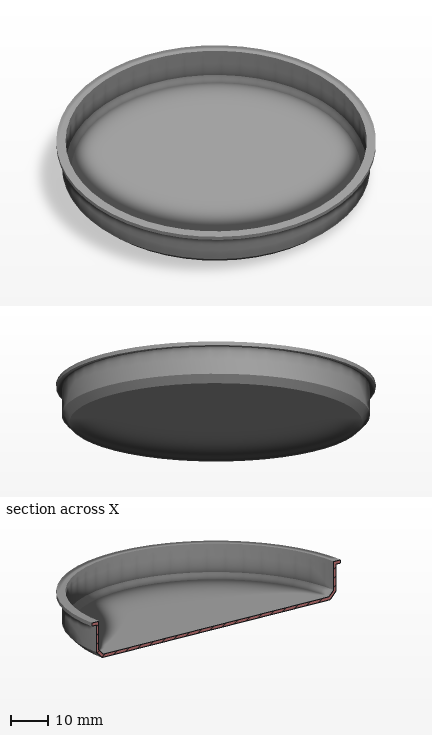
import cadquery as cq

rim_diameter = 86.0
height = 10.7

body_diameter = 83.0
bore_diameter = 81.0
rim_thickness = 1.0
floor_thickness = 1.0

outer_chamfer = 2.1
inner_chamfer = 1.55


def disc(diameter, thickness, base_z):
    """Upright disc on the Z axis, starting at base_z."""
    return cq.Workplane("XY").workplane(offset=base_z).circle(diameter / 2).extrude(thickness)


body = disc(body_diameter, height, 0).faces("<Z").chamfer(outer_chamfer)

rim = disc(rim_diameter, rim_thickness, height - rim_thickness)

cavity = disc(bore_diameter, height - floor_thickness, floor_thickness)
cavity = cavity.faces("<Z").chamfer(inner_chamfer)

result = body.union(rim).cut(cavity)